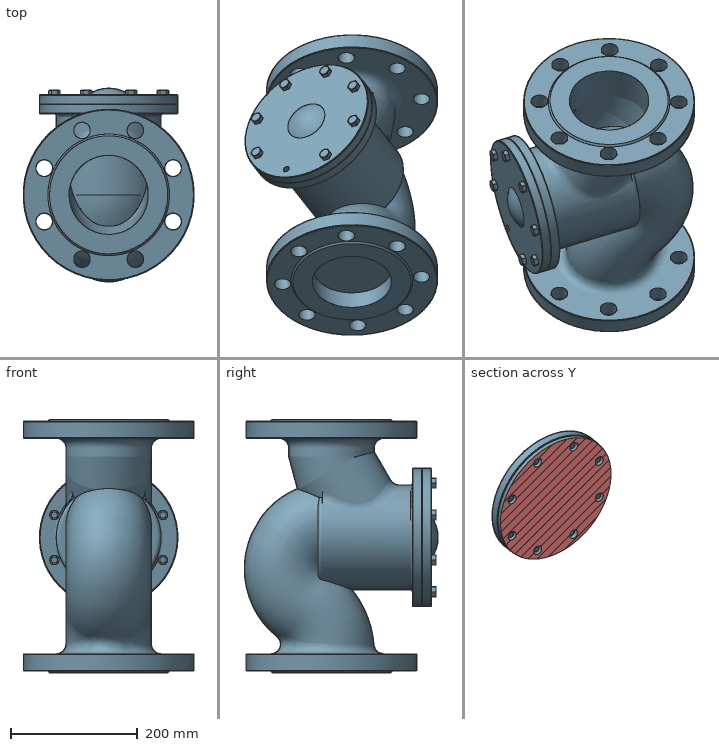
import cadquery as cq
import math

OVERALL_HEIGHT = 400.0
FLANGE_DIAMETER = 270.0
FLANGE_THICKNESS = 27.0
FLANGE_CHAMFER = 1.0
FACE_HEIGHT = 3.0
FACE_BASE_DIAMETER = 192.0
FACE_TOP_DIAMETER = 186.5
FLANGE_HOLE_DIAMETER = 26.0
FLANGE_HOLE_CIRCLE = 220.0
BOLTS_PER_FLANGE = 8
NECK_FILLET = 15.0

PIPE_RADIUS = 135.0 / 2
BORE_RADIUS = 125.0 / 2

LOWER_BEND_RADIUS = 90.0
UPPER_BEND_RADIUS = 70.0
BEND_RISE = 2.0
BEND_END_Y = 0.0

NECK_END_Z = 341.0
OUTLET_TILT = 30.0
HINGE_Y = 38.0
HINGE_CLEARANCE = 1.0
TILTED_PIPE_LENGTH = 132.0
OUTLET_FILLET = 16.0

CHAMBER_Z = 213.5
CHAMBER_DIAMETER = 165.5
CHAMBER_END_Y = -21.0
CHAMBER_END_FILLET = 6.5

SEAM_Y = 142.5
COVER_DIAMETER = 219.0
CHAMBER_FLANGE_THICKNESS = 15.0
COVER_THICKNESS = 15.5
COVER_CHAMFER = 1.0
CHAMBER_NECK_FILLET = 3.0
DOME_HEIGHT = 10.5
DOME_BASE_RADIUS = 33.0
COVER_BOLT_CIRCLE = 185.5
COVER_BOLT_COUNT = 8
EMPTY_BOLT_PLACE = 6
HOUSING_BOLT_HOLE = 15.0
SHANK_DIAMETER = 10.0
SHANK_PROTRUSION = 4.0
HEAD_ACROSS_FLATS = 16.0
HEAD_CHAMFER_DIAMETER = 15.0
HEAD_HEIGHT = 7.0
HEAD_BEVEL_ANGLE = 30.0

EDGE_MARGIN = 0.5
FLANGE_TOTAL = FACE_HEIGHT + FLANGE_THICKNESS
BEND_START_Z = FLANGE_TOTAL + BEND_RISE
CHAMBER_FLANGE_Y = SEAM_Y - CHAMBER_FLANGE_THICKNESS
BLEND_START_Y = CHAMBER_END_Y + CHAMBER_END_FILLET + EDGE_MARGIN
BLEND_END_Y = CHAMBER_FLANGE_Y - 2 * CHAMBER_NECK_FILLET
COVER_BACK_Y = SEAM_Y + COVER_THICKNESS


def y_cylinder(radius, y_start, y_end, x=0.0, z=CHAMBER_Z):
    """Cylinder parallel to Y between two Y positions."""
    start = cq.Vector(x, y_start, z)
    return cq.Workplane(cq.Solid.makeCylinder(radius, y_end - y_start, start, cq.Vector(0, 1, 0)))


def z_cylinder(radius, z_start, z_end):
    """Cylinder on the Z axis between two heights."""
    return cq.Workplane(cq.Solid.makeCylinder(radius, z_end - z_start, cq.Vector(0, 0, z_start)))


def slab(y_start, y_end):
    """Block that spans the whole valve in X and Z between two Y positions."""
    span = 2 * OVERALL_HEIGHT
    corner = cq.Vector(-span / 2, y_start, -span / 4)
    return cq.Workplane(cq.Solid.makeBox(span, y_end - y_start, span, corner))


def pipe_flange():
    """Drilled flange with its raised face on z = 0 and its back towards +Z."""
    disc = z_cylinder(FLANGE_DIAMETER / 2, FACE_HEIGHT, FLANGE_TOTAL).edges().chamfer(FLANGE_CHAMFER)
    face = cq.Workplane(
        cq.Solid.makeCone(FACE_TOP_DIAMETER / 2, FACE_BASE_DIAMETER / 2, FACE_HEIGHT)
    )
    first_angle = 180.0 / BOLTS_PER_FLANGE
    holes = (
        cq.Workplane()
        .polarArray(FLANGE_HOLE_CIRCLE / 2, first_angle, 360, BOLTS_PER_FLANGE)
        .circle(FLANGE_HOLE_DIAMETER / 2)
        .extrude(FLANGE_TOTAL)
    )
    return disc.union(face).cut(holes)


def flange_joint(height):
    """Selector for the edge where a pipe meets the back of a pipe flange."""
    reach = 1.1 * PIPE_RADIUS
    return cq.selectors.BoxSelector(
        (-reach, -reach, height - EDGE_MARGIN), (reach, reach, height + EDGE_MARGIN), True
    )


def s_bend():
    """S-bend from the lower flange to its end face inside the chamber tube."""
    centre_distance = LOWER_BEND_RADIUS + UPPER_BEND_RADIUS
    turn = math.acos(LOWER_BEND_RADIUS / centre_distance)
    lower_centre_y = -LOWER_BEND_RADIUS
    upper_centre_z = BEND_START_Z + centre_distance * math.sin(turn)
    lower = (
        cq.Workplane("XY", origin=(0, 0, BEND_START_Z))
        .circle(PIPE_RADIUS)
        .revolve(math.degrees(turn), (-4, lower_centre_y, 0), (4, lower_centre_y, 0))
    )
    upper = (
        cq.Workplane("XZ", origin=(0, BEND_END_Y, upper_centre_z + UPPER_BEND_RADIUS))
        .circle(PIPE_RADIUS)
        .revolve(90 + math.degrees(turn), (-4, -UPPER_BEND_RADIUS, 0), (4, -UPPER_BEND_RADIUS, 0))
    )
    stub = z_cylinder(PIPE_RADIUS, FLANGE_TOTAL, BEND_START_Z)
    return stub.union(lower).union(upper)


def tip_about_hinge(shape):
    """Turn a shape about the hinge line by the tilt of the outlet."""
    hinge_start = cq.Vector(-4, HINGE_Y, NECK_END_Z)
    hinge_end = cq.Vector(4, HINGE_Y, NECK_END_Z)
    return shape.rotate(hinge_start, hinge_end, OUTLET_TILT)


def tilted_cylinder(radius, rise, drop):
    """Cylinder on the tilted outlet axis, reaching above and below the mitre plane."""
    upright = cq.Solid.makeCylinder(radius, rise + drop, cq.Vector(0, 0, NECK_END_Z - drop))
    return cq.Workplane(tip_about_hinge(upright))


def hinge_segment(radius):
    """Part of a neck section on the -Y side of the hinge line."""
    chord_y = HINGE_Y - HINGE_CLEARANCE
    half_chord = math.sqrt(radius**2 - chord_y**2)
    return (
        cq.Workplane("XY", origin=(0, 0, NECK_END_Z))
        .moveTo(-half_chord, chord_y)
        .threePointArc((0, -radius), (half_chord, chord_y))
        .close()
        .val()
    )


def mitre_wedge(radius):
    """Wedge that fills the angle between the vertical neck and the tilted pipe."""
    start = hinge_segment(radius)
    return cq.Workplane(cq.Solid.makeLoft([start, tip_about_hinge(start)], True))


def mitred_neck(radius):
    """Vertical neck with the mitre wedge below it."""
    return z_cylinder(radius, NECK_END_Z, OVERALL_HEIGHT - FLANGE_TOTAL).union(mitre_wedge(radius))


def chamber_end():
    """Rounded end disc of the chamber tube."""
    disc = y_cylinder(CHAMBER_DIAMETER / 2, CHAMBER_END_Y, BLEND_START_Y)
    return disc.faces("<Y").edges().fillet(CHAMBER_END_FILLET)


def chamber_flange():
    """Cover flange with a short length of the chamber tube filleted to it."""
    flange = y_cylinder(COVER_DIAMETER / 2, CHAMBER_FLANGE_Y, SEAM_Y)
    flange = flange.faces("<Y").edges().chamfer(COVER_CHAMFER)
    collar = y_cylinder(CHAMBER_DIAMETER / 2, BLEND_END_Y, SEAM_Y)
    front_rims = cq.selectors.BoxSelector(
        (-COVER_DIAMETER, CHAMBER_FLANGE_Y - EDGE_MARGIN, 0),
        (COVER_DIAMETER, CHAMBER_FLANGE_Y + EDGE_MARGIN, OVERALL_HEIGHT),
    )
    inner_rim = cq.selectors.RadiusNthSelector(0)
    joint = flange.union(collar).edges("%CIRCLE").edges(front_rims).edges(inner_rim)
    return joint.fillet(CHAMBER_NECK_FILLET)


def chamber_outlet_blend():
    """Middle of the chamber tube with the tilted pipe blended into it."""
    span = OVERALL_HEIGHT
    tube = y_cylinder(CHAMBER_DIAMETER / 2, -span, span)
    joined = tube.union(tilted_cylinder(PIPE_RADIUS, span, TILTED_PIPE_LENGTH))
    joint_edges = [edge for edge in joined.edges().vals() if edge.geomType() == "BSPLINE"]
    blended = joined.newObject(joint_edges).fillet(OUTLET_FILLET)
    corner = cq.Vector(-span / 2, -span / 2, NECK_END_Z - span)
    below_mitre = cq.Workplane(tip_about_hinge(cq.Solid.makeBox(span, span, span, corner)))
    return blended.intersect(slab(BLEND_START_Y, BLEND_END_Y)).intersect(below_mitre)


def tilted_pipe_front():
    """Part of the tilted pipe that stands beyond the blend, on the -Y side."""
    pipe = tilted_cylinder(PIPE_RADIUS, 0, TILTED_PIPE_LENGTH)
    return pipe.intersect(slab(-OVERALL_HEIGHT, BLEND_START_Y))


def outlet_bore(bend):
    """Bore of the outlet, which stops on the outside of the chamber tube and of the bend."""
    bore = tilted_cylinder(BORE_RADIUS, 0, TILTED_PIPE_LENGTH).union(mitre_wedge(BORE_RADIUS))
    bore = bore.union(z_cylinder(BORE_RADIUS, NECK_END_Z, OVERALL_HEIGHT))
    tube = y_cylinder(CHAMBER_DIAMETER / 2, CHAMBER_END_Y, SEAM_Y)
    return bore.cut(tube).cut(bend)


def bolt_places():
    """X and Z of the cover bolt holes."""
    step = 360.0 / COVER_BOLT_COUNT
    radius = COVER_BOLT_CIRCLE / 2
    places = []
    for index in range(COVER_BOLT_COUNT):
        angle = math.radians((index + 0.5) * step)
        places.append((radius * math.cos(angle), CHAMBER_Z + radius * math.sin(angle)))
    return places


def make_housing():
    """Valve body with both pipe flanges, the S-bend, the outlet and the chamber tube."""
    flange = pipe_flange()
    bend = s_bend()
    upper = flange.mirror("XY").translate((0, 0, OVERALL_HEIGHT)).union(mitred_neck(PIPE_RADIUS))
    upper = upper.edges(flange_joint(OVERALL_HEIGHT - FLANGE_TOTAL)).fillet(NECK_FILLET)

    body = bend.union(chamber_outlet_blend()).union(chamber_end())
    body = body.union(tilted_pipe_front()).union(chamber_flange()).union(flange)
    body = body.edges(flange_joint(FLANGE_TOTAL)).fillet(NECK_FILLET)
    body = body.union(upper)

    body = body.cut(outlet_bore(bend)).cut(z_cylinder(BORE_RADIUS, 0, FLANGE_TOTAL))
    for x, z in bolt_places():
        body = body.cut(y_cylinder(HOUSING_BOLT_HOLE / 2, CHAMBER_FLANGE_Y, SEAM_Y, x, z))
    return body


def make_cover():
    """Round cover with a shallow dome and a fitted hole for each bolt shank."""
    disc = y_cylinder(COVER_DIAMETER / 2, SEAM_Y, COVER_BACK_Y).edges().chamfer(COVER_CHAMFER)
    dome_radius = (DOME_BASE_RADIUS**2 + DOME_HEIGHT**2) / (2 * DOME_HEIGHT)
    dome = (
        cq.Workplane("XY", origin=(0, COVER_BACK_Y, CHAMBER_Z))
        .moveTo(DOME_BASE_RADIUS, 0)
        .lineTo(0, 0)
        .lineTo(0, DOME_HEIGHT)
        .radiusArc((DOME_BASE_RADIUS, 0), dome_radius)
        .close()
        .revolve(360, (0, 0, 0), (0, 1, 0))
    )
    cover = disc.union(dome)
    for x, z in bolt_places():
        cover = cover.cut(y_cylinder(SHANK_DIAMETER / 2, SEAM_Y, COVER_BACK_Y, x, z))
    return cover


def make_bolt(x, z):
    """Hexagon bolt with a bevelled head, its shank passing through the cover."""
    across_corners = HEAD_ACROSS_FLATS / math.cos(math.radians(30))
    head = (
        cq.Workplane("XZ", origin=(x, COVER_BACK_Y, z))
        .polygon(6, across_corners)
        .extrude(-HEAD_HEIGHT)
    )
    bevel_width = (across_corners - HEAD_CHAMFER_DIAMETER) / 2
    bevel_drop = bevel_width * math.tan(math.radians(HEAD_BEVEL_ANGLE))
    envelope = (
        y_cylinder(across_corners / 2, COVER_BACK_Y, COVER_BACK_Y + HEAD_HEIGHT, x, z)
        .faces(">Y")
        .chamfer(bevel_drop, bevel_width)
    )
    shank = y_cylinder(SHANK_DIAMETER / 2, SEAM_Y - SHANK_PROTRUSION, COVER_BACK_Y, x, z)
    return head.intersect(envelope).union(shank)


housing = make_housing()
cover = make_cover()
bolts = [make_bolt(x, z) for index, (x, z) in enumerate(bolt_places()) if index != EMPTY_BOLT_PLACE]
result = cq.Compound.makeCompound([housing.val(), cover.val(), *[bolt.val() for bolt in bolts]])